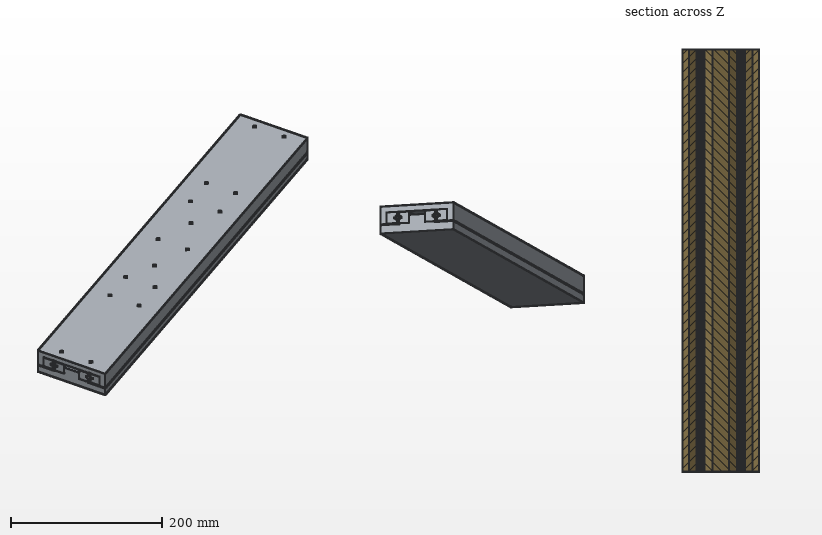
import cadquery as cq
import math

length = 559.0
width = 101.5
height = 36.5

carriage_height = 24.0
plate_thickness = 8.5
cavity_width = 84.0
carriage_bottom = height - carriage_height
cavity_ceiling = height - plate_thickness

slab_height = 11.0
seat_height = 12.5
rib_height = 23.0
rib_width = 22.5

rail_height = 15.0
rail_gap = 3.0
rail_pair_width = (cavity_width - rib_width) / 2
rail_width = (rail_pair_width - rail_gap) / 2
rail_offset_from_race = (rail_width + rail_gap) / 2
outer_rail_bottom = cavity_ceiling - rail_height
inner_rail_bottom = seat_height

race_half_diagonal = 4.5
relief_width = 1.0
relief_reach = 5.0
race_x = (rib_width + rail_pair_width) / 2
race_z = (outer_rail_bottom + inner_rail_bottom + rail_height) / 2

seat_width = rib_width + 2 * rail_width

hole_diameter = 4.0
hole_column_spacing = 44.0
middle_pair_y = 0.0
inner_pair_y = 89.5
outer_pair_y = 133.0
end_pair_y = 266.5
centre_hole_y = 50.5


def extrude_along_y(profile):
    """Extrude an XZ profile over the full length, centred on Y = 0."""
    return profile.extrude(length / 2, both=True)


def bar(bar_width, bar_height, centre_x, bottom_z):
    """Full-length rectangular bar standing on bottom_z."""
    centre_z = bottom_z + bar_height / 2
    return extrude_along_y(cq.Workplane("XZ").center(centre_x, centre_z).rect(bar_width, bar_height))


def mounting_hole_points():
    points = [(0, -centre_hole_y), (0, centre_hole_y)]
    for x in (-hole_column_spacing / 2, hole_column_spacing / 2):
        points.append((x, middle_pair_y))
        for y in (inner_pair_y, outer_pair_y, end_pair_y):
            points.append((x, -y))
            points.append((x, y))
    return points


def make_carriage():
    block = bar(width, carriage_height, 0, carriage_bottom)
    cavity = bar(cavity_width, cavity_ceiling - carriage_bottom, 0, carriage_bottom)
    holes = (
        cq.Workplane("XY")
        .workplane(offset=cavity_ceiling)
        .pushPoints(mounting_hole_points())
        .circle(hole_diameter / 2)
        .extrude(plate_thickness)
    )
    return block.cut(cavity).cut(holes)


def make_base():
    slab = bar(width, slab_height, 0, 0)
    seat = bar(seat_width, seat_height, 0, 0)
    rib = bar(rib_width, rib_height, 0, 0)
    return slab.union(seat).union(rib)


def make_race(centre_x):
    """Diamond-shaped roller space with its relief slots, cut half into each facing rail."""
    diamond_side = race_half_diagonal * math.sqrt(2)
    diamond = extrude_along_y(
        cq.Workplane("XZ")
        .center(centre_x, race_z)
        .transformed(rotate=(0, 0, 45))
        .rect(diamond_side, diamond_side)
    )
    relief = bar(2 * relief_reach, relief_width, centre_x, race_z - relief_width / 2)
    return diamond.union(relief)


def make_rail(centre_x, bottom_z, race):
    return bar(rail_width, rail_height, centre_x, bottom_z).cut(race)


carriage = make_carriage()
base = make_base()

rails = []
for side in (-1, 1):
    race = make_race(side * race_x)
    outer_rail_x = side * (race_x + rail_offset_from_race)
    inner_rail_x = side * (race_x - rail_offset_from_race)
    rails.append(make_rail(outer_rail_x, outer_rail_bottom, race))
    rails.append(make_rail(inner_rail_x, inner_rail_bottom, race))

result = cq.Compound.makeCompound([carriage.val(), base.val(), *[rail.val() for rail in rails]])